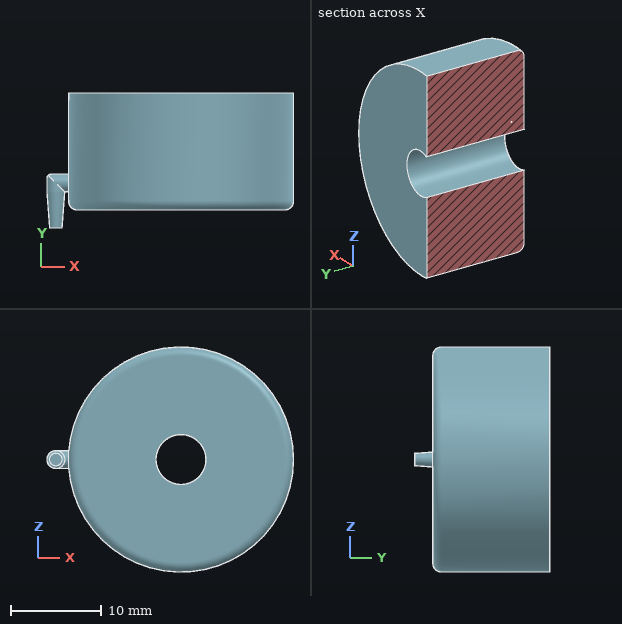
import cadquery as cq

overall_width = 27.4
body_diameter = 25.0
body_length = 13.0
face_diameter = 23.0
bore_diameter = 5.5
pin_diameter = 2.0
tip_diameter = 1.4
tip_projection = 2.0
elbow_setback = 3.0
elbow_rounding = 0.5

body_radius = body_diameter / 2
edge_rounding = (body_diameter - face_diameter) / 2
pin_radius = pin_diameter / 2
pin_x = body_radius - overall_width + pin_radius
taper_start_y = elbow_setback - pin_radius
taper_length = taper_start_y + tip_projection
arm_embed_depth = pin_diameter


def make_body():
    """Drum along +Y with a rounded front rim and a plain back rim."""
    drum = cq.Workplane("XZ").circle(body_radius).extrude(-body_length)
    return drum.faces("<Y").edges().fillet(edge_rounding)


def mitred_cylinder(cylinder, outline):
    """Keep the part of a cylinder inside an outline in XY, as deep in Z as the pin is thick."""
    keep = (
        cq.Workplane("XY", origin=(pin_x, elbow_setback, -pin_radius))
        .polyline(outline)
        .close()
        .extrude(pin_diameter)
    )
    return cylinder.intersect(keep)


def make_elbow():
    """Mitred bend from the drum wall to the tapered pin, rounded at its outer corner."""
    r = pin_radius
    outer_corner = (-r, r)
    inner_corner = (r, -r)
    arm_end = arm_embed_depth - body_radius - pin_x

    arm = (
        cq.Workplane("YZ", origin=(pin_x - r, elbow_setback, 0))
        .circle(r)
        .extrude(arm_end + r)
    )
    leg = (
        cq.Workplane("XZ", origin=(pin_x, elbow_setback + r, 0))
        .circle(r)
        .extrude(pin_diameter)
    )
    arm = mitred_cylinder(arm, [outer_corner, inner_corner, (arm_end, -r), (arm_end, r)])
    leg = mitred_cylinder(leg, [outer_corner, inner_corner, (-r, -r)])
    bend = arm.union(leg)

    outline = (
        cq.Workplane("XY", origin=(pin_x - r, taper_start_y, -r))
        .rect(arm_end + r, pin_diameter, centered=False)
        .extrude(pin_diameter)
        .edges("|Z and (<X and >Y)")
        .fillet(elbow_rounding)
    )
    return bend.intersect(outline)


def make_tapered_pin():
    """Cone pointing forward past the front face."""
    return (
        cq.Workplane("XZ", origin=(pin_x, taper_start_y, 0))
        .circle(pin_radius)
        .workplane(offset=taper_length)
        .circle(tip_diameter / 2)
        .loft(ruled=True)
    )


bore = cq.Workplane("XZ").circle(bore_diameter / 2).extrude(-body_length)

result = make_body().union(make_elbow()).union(make_tapered_pin()).cut(bore)